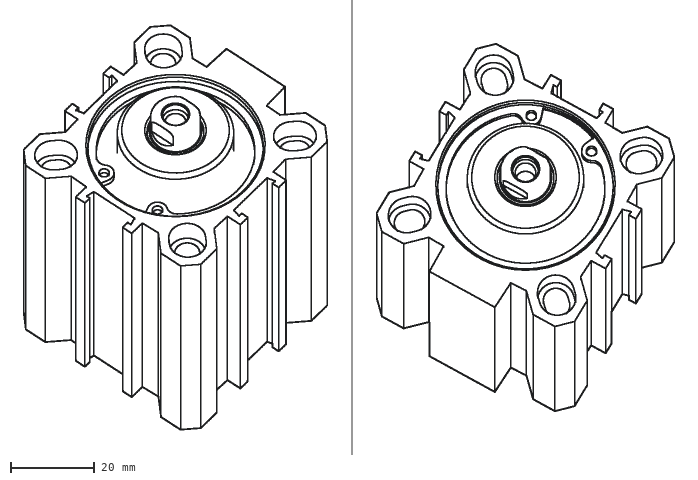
import cadquery as cq
import math

TUBE_HEIGHT = 64.7
HALF_WIDTH = 27.5
LUG_CHAMFER = 3.5
LUG_INNER = 17.95
WEB_HALF_WIDTH = 23.1
WEB_CORNER = 13.55
SIDE_HALF_WIDTH = 23.25

RAIL_OUTER = 8.7
RAIL_LIP = 5.85
RAIL_NECK = 6.85
RAIL_ROOT = 6.3
RAIL_TIP_HALF_WIDTH = 27.25
RAIL_LIP_THICKNESS = 1.9

PORT_FACE = 30.5
PORT_ROOT_HALF_WIDTH = 9.3
PORT_TIP_HALF_WIDTH = 9.1

MOUNT_OFFSET = 20.4
MOUNT_STRETCH = 1.4
MOUNT_DIAMETER = 6.0
MOUNT_BORE_DIAMETER = 8.85
MOUNT_BORE_DEPTH = 5.85

BORE_DIAMETER = 42.2
BORE_MOUTH_DIAMETER = 43.1
GROOVE_DIAMETER = 44.7
RING_DEPTH = 2.15
RING_THICKNESS = 1.55
RING_INNER_DIAMETER = 38.2
RING_TURN = -2.0
RING_LUG_RADIUS = 2.4
RING_LUG_PITCH_RADIUS = 18.4
RING_LUG_ANGLE = 27.6
RING_LUG_FILLET = 2.5
RING_HOLE_DIAMETER = 2.5

COVER_DIAMETER = 41.7
COVER_THICKNESS = 10.0
COLLAR_DIAMETER = 28.0
COLLAR_TOP = 70.7
COLLAR_CHAMFER = 1.1
COLLAR_FILLET = 0.7
RECESS_DIAMETER = 13.7
RECESS_MOUTH_DIAMETER = 14.8
RECESS_DEPTH = 1.9
WIPER_TIP_DIAMETER = 12.55
WIPER_TIP_DEPTH = 0.6

ROD_DIAMETER = 12.0
ROD_TOP = 77.0
ROD_FILLET = 1.15
ROD_FLATS = 10.0
ROD_FLAT_LENGTH = 4.4
ROD_SOCKET_DIAMETER = 6.2
ROD_SOCKET_MOUTH_DIAMETER = 6.8
ROD_SOCKET_DEPTH = 2.2
ROD_HOLE_DIAMETER = 4.9
ROD_HOLE_DEPTH = 9.25
DRILL_POINT_ANGLE = 160.0

RING_TOP = TUBE_HEIGHT - RING_DEPTH
COVER_TOP = RING_TOP - RING_THICKNESS
COVER_BOTTOM = COVER_TOP - COVER_THICKNESS


def cylinder(diameter, bottom, top):
    """Solid cylinder on the axis between two heights."""
    return cq.Workplane("XY", origin=(0, 0, bottom)).circle(diameter / 2).extrude(top - bottom)


def cone(bottom_diameter, top_diameter, bottom, top):
    """Solid cone frustum on the axis between two heights."""
    return cq.Workplane("XY").add(
        cq.Solid.makeCone(bottom_diameter / 2, top_diameter / 2, top - bottom, pnt=cq.Vector(0, 0, bottom))
    )


def core_outline():
    """Four-lugged outline without rails or port: one side turned into four."""
    half_side = [
        (RAIL_OUTER, SIDE_HALF_WIDTH),
        (WEB_CORNER, WEB_HALF_WIDTH),
        (LUG_INNER, HALF_WIDTH),
        (HALF_WIDTH - LUG_CHAMFER, HALF_WIDTH),
    ]
    side = [(-x, y) for x, y in reversed(half_side)] + half_side
    points = []
    for _ in range(4):
        points += side
        side = [(y, -x) for x, y in side]
    return points


def make_rail(angle, mirrored):
    """Hooked sensor rail on the side wall facing the given direction."""
    lip_bottom = RAIL_TIP_HALF_WIDTH - RAIL_LIP_THICKNESS
    root = BORE_DIAMETER / 2
    outline = [
        (RAIL_OUTER, root),
        (RAIL_OUTER, RAIL_TIP_HALF_WIDTH),
        (RAIL_LIP, RAIL_TIP_HALF_WIDTH),
        (RAIL_LIP, lip_bottom),
        (RAIL_NECK, lip_bottom),
        (RAIL_ROOT, SIDE_HALF_WIDTH),
        (RAIL_ROOT, root),
    ]
    if mirrored:
        outline = [(-x, y) for x, y in outline]
    rail = cq.Workplane("XY").polyline(outline).close().extrude(TUBE_HEIGHT)
    return rail.rotate((0, 0, 0), (0, 0, 1), angle)


def make_port_block():
    outline = [
        (-PORT_ROOT_HALF_WIDTH, SIDE_HALF_WIDTH),
        (-PORT_TIP_HALF_WIDTH, PORT_FACE),
        (PORT_TIP_HALF_WIDTH, PORT_FACE),
        (PORT_ROOT_HALF_WIDTH, SIDE_HALF_WIDTH),
        (PORT_ROOT_HALF_WIDTH, BORE_DIAMETER / 2),
        (-PORT_ROOT_HALF_WIDTH, BORE_DIAMETER / 2),
    ]
    return cq.Workplane("XY").polyline(outline).close().extrude(TUBE_HEIGHT)


def make_mount_slot(diameter, bottom, angle):
    """Slot stretched along the lug diagonal, open at the tube top."""
    slot = (
        cq.Workplane("XY", origin=(0, 0, bottom))
        .center(MOUNT_OFFSET * math.sqrt(2), 0)
        .slot2D(diameter + MOUNT_STRETCH, diameter)
        .extrude(TUBE_HEIGHT - bottom)
    )
    return slot.rotate((0, 0, 0), (0, 0, 1), angle)


def make_tube():
    tube = cq.Workplane("XY").polyline(core_outline()).close().extrude(TUBE_HEIGHT)
    for angle in (90, 180, 270):
        for mirrored in (False, True):
            tube = tube.union(make_rail(angle, mirrored))
    tube = tube.union(make_port_block())
    for angle in (45, 135, 225, 315):
        tube = tube.cut(make_mount_slot(MOUNT_DIAMETER, 0, angle))
        tube = tube.cut(make_mount_slot(MOUNT_BORE_DIAMETER, TUBE_HEIGHT - MOUNT_BORE_DEPTH, angle))
    mouth_chamfer = (BORE_MOUTH_DIAMETER - BORE_DIAMETER) / 2
    tube = tube.cut(cylinder(BORE_DIAMETER, COVER_BOTTOM, TUBE_HEIGHT))
    tube = tube.cut(cone(BORE_DIAMETER, BORE_MOUTH_DIAMETER, TUBE_HEIGHT - mouth_chamfer, TUBE_HEIGHT))
    return tube.cut(cylinder(GROOVE_DIAMETER, COVER_TOP, RING_TOP))


def make_retaining_ring():
    """Circlip with two eyed lugs, its gap facing -Y and slightly turned."""
    outer = GROOVE_DIAMETER / 2
    inner = RING_INNER_DIAMETER / 2
    tangent_angle = math.degrees(math.asin(RING_LUG_RADIUS / RING_LUG_PITCH_RADIUS))
    end_angle = RING_LUG_ANGLE - tangent_angle
    lug_reach = RING_LUG_PITCH_RADIUS * math.cos(math.radians(tangent_angle))
    pad_tip = (RING_INNER_DIAMETER + BORE_DIAMETER) / 4

    plane = cq.Workplane("XY", origin=(0, 0, COVER_TOP))
    ring = plane.circle(outer).circle(inner).extrude(RING_THICKNESS)
    gap_reach = 2 * outer
    gap_half_width = gap_reach * math.tan(math.radians(end_angle))
    gap = plane.polyline([(0, 0), (-gap_half_width, -gap_reach), (gap_half_width, -gap_reach)]).close()
    ring = ring.cut(gap.extrude(RING_THICKNESS))

    for side in (-1, 1):
        lug_angle = math.radians(side * RING_LUG_ANGLE - 90)
        lug_x = RING_LUG_PITCH_RADIUS * math.cos(lug_angle)
        lug_y = RING_LUG_PITCH_RADIUS * math.sin(lug_angle)
        lug = plane.center(lug_x, lug_y).circle(RING_LUG_RADIUS).extrude(RING_THICKNESS)
        pad_width = side * RING_LUG_RADIUS
        pad_outline = [(0, -lug_reach), (0, -pad_tip), (pad_width, -pad_tip), (pad_width, -lug_reach)]
        pad = plane.polyline(pad_outline).close().extrude(RING_THICKNESS)
        pad = pad.rotate((0, 0, 0), (0, 0, 1), side * end_angle)
        ring = ring.union(lug).union(pad)
        eye = plane.center(lug_x, lug_y).circle(RING_HOLE_DIAMETER / 2).extrude(RING_THICKNESS)
        ring = ring.cut(eye)
        corner_divisor = 2 * inner * RING_LUG_PITCH_RADIUS
        spread_cosine = (inner**2 + RING_LUG_PITCH_RADIUS**2 - RING_LUG_RADIUS**2) / corner_divisor
        corner = lug_angle + side * math.acos(spread_cosine)
        corner_point = (inner * math.cos(corner), inner * math.sin(corner), COVER_TOP + RING_THICKNESS / 2)
        ring = ring.edges(cq.selectors.NearestToPointSelector(corner_point)).fillet(RING_LUG_FILLET)
    return ring.rotate((0, 0, 0), (0, 0, 1), RING_TURN)


def make_head_cover():
    cover = cylinder(COVER_DIAMETER, COVER_BOTTOM, COVER_TOP)
    cover = cover.union(cylinder(COLLAR_DIAMETER, COVER_TOP, COLLAR_TOP))
    cover = cover.faces(">Z").edges().chamfer(COLLAR_CHAMFER)
    smallest_circle = cq.selectors.RadiusNthSelector(0)
    cover = cover.faces("+Z").faces("<Z").edges(smallest_circle).fillet(COLLAR_FILLET)
    recess_chamfer = (RECESS_MOUTH_DIAMETER - RECESS_DIAMETER) / 2
    recess_bottom = COLLAR_TOP - RECESS_DEPTH
    cover = cover.cut(cylinder(RECESS_DIAMETER, recess_bottom, COLLAR_TOP))
    cover = cover.cut(cone(RECESS_DIAMETER, RECESS_MOUTH_DIAMETER, COLLAR_TOP - recess_chamfer, COLLAR_TOP))
    wiper_lip = cone(RECESS_DIAMETER, WIPER_TIP_DIAMETER, recess_bottom, COLLAR_TOP - WIPER_TIP_DEPTH)
    return cover.union(wiper_lip).cut(cylinder(ROD_DIAMETER, COVER_BOTTOM, COLLAR_TOP))


def make_flat_cutter(side):
    """Cutter for one wrench flat with a 45 degree run-out at its lower end."""
    flat = side * ROD_FLATS / 2
    outside = side * ROD_DIAMETER
    flat_bottom = ROD_TOP - ROD_FLAT_LENGTH
    runout_bottom = flat_bottom - abs(outside - flat)
    return (
        cq.Workplane("YZ")
        .polyline([(flat, ROD_TOP), (flat, flat_bottom), (outside, runout_bottom), (outside, ROD_TOP)])
        .close()
        .extrude(ROD_DIAMETER / 2, both=True)
    )


def make_rod():
    rod = cylinder(ROD_DIAMETER, COVER_BOTTOM, ROD_TOP).faces(">Z").edges().fillet(ROD_FILLET)
    for side in (-1, 1):
        rod = rod.cut(make_flat_cutter(side))
    hole_bottom = ROD_TOP - ROD_HOLE_DEPTH
    point_depth = ROD_HOLE_DIAMETER / 2 / math.tan(math.radians(DRILL_POINT_ANGLE / 2))
    socket_chamfer = (ROD_SOCKET_MOUTH_DIAMETER - ROD_SOCKET_DIAMETER) / 2
    socket_bottom = ROD_TOP - ROD_SOCKET_DEPTH
    socket_taper = (ROD_SOCKET_DIAMETER - ROD_HOLE_DIAMETER) / 2
    rod = rod.cut(cone(ROD_SOCKET_DIAMETER, ROD_SOCKET_MOUTH_DIAMETER, ROD_TOP - socket_chamfer, ROD_TOP))
    rod = rod.cut(cylinder(ROD_SOCKET_DIAMETER, socket_bottom, ROD_TOP))
    rod = rod.cut(cone(ROD_HOLE_DIAMETER, ROD_SOCKET_DIAMETER, socket_bottom - socket_taper, socket_bottom))
    rod = rod.cut(cylinder(ROD_HOLE_DIAMETER, hole_bottom, ROD_TOP))
    return rod.cut(cone(0, ROD_HOLE_DIAMETER, hole_bottom - point_depth, hole_bottom))


tube = make_tube()
retaining_ring = make_retaining_ring()
head_cover = make_head_cover()
rod = make_rod()

result = cq.Compound.makeCompound([tube.val(), retaining_ring.val(), head_cover.val(), rod.val()])